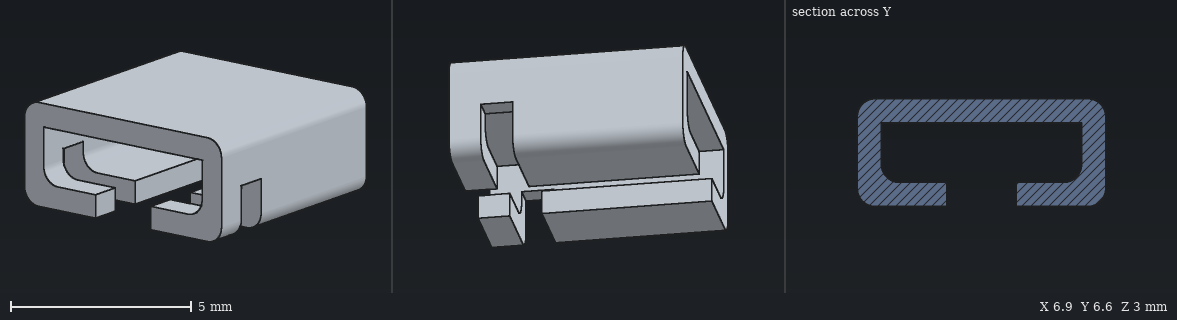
import cadquery as cq

width = 6.9
length = 6.6
height = 3.0

wall = 0.68
mouth_width = 1.92
outer_radius = 0.5
inner_radius = 0.5

slot_width = 0.9
slot_height = 1.5
slot_setback = 0.9


def block(size_x, size_y, size_z, front_y, bottom_z):
    """Box centred on X, placed by its front face and its underside."""
    return cq.Workplane("XY").box(size_x, size_y, size_z, centered=(True, False, False)).translate(
        (0, front_y, bottom_z)
    )


def outer_body():
    """Full block with its four lengthwise edges rounded."""
    return block(width, length, height, -length / 2, 0).edges("|Y").fillet(outer_radius)


def cavity():
    """Lengthwise hollow: square upper corners, rounded lower corners."""
    hollow = block(width - 2 * wall, length, height - 2 * wall, -length / 2, wall)
    return hollow.edges("|Y and <Z").fillet(inner_radius)


def mouth():
    """Gap between the two lips along the underside."""
    return block(mouth_width, length, height / 2, -length / 2, 0)


def cross_slot():
    """Notch across the full width, open at the underside."""
    return block(width, slot_width, slot_height, -length / 2 + slot_setback, 0)


result = outer_body().cut(cavity()).cut(mouth()).cut(cross_slot())